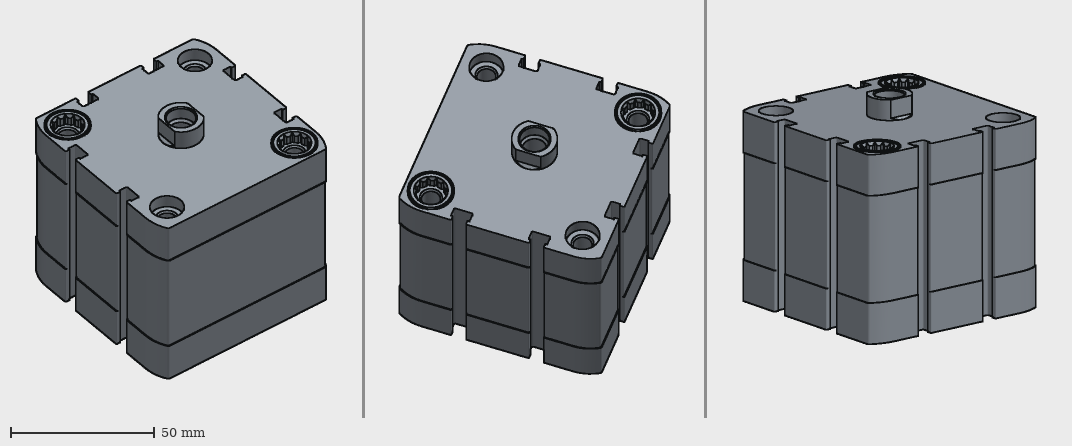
import cadquery as cq
import math

HOUSING_WIDTH = 75.5
TOTAL_HEIGHT = 76.5
HOUSING_HEIGHT = 69.0
CAP_HEIGHT = 15.0

HALF_WIDTH = HOUSING_WIDTH / 2
BARREL_INSET = 0.3
FLAT_HALF_LENGTH = 28.3
CORNER_RADIUS = 17.3
EDGE_RADIUS = 1.15

SLOT_OFFSET = 14.45
SLOT_MOUTH_WIDTH = 5.5
SLOT_WIDTH = 6.95
SLOT_DEPTH = 5.2
SLOT_LIP = 1.75
SLOT_MOUTH_RADIUS = 0.3
SLOT_CORNER_RADIUS = 0.5
SLOT_SIDES = (0, 90, 180)

HOLE_OFFSET = 28.2
HOLE_DIAMETER = 6.65
HOLE_CHAMFER_DIAMETER = 7.95

COUNTERBORE_DIAMETER = 12.0
COUNTERBORE_DEPTH = 5.0

SOCKET_RIM_DIAMETER = COUNTERBORE_DIAMETER
SOCKET_BORE_DIAMETER = 10.5
SOCKET_POINT_DIAMETER = 11.8
SOCKET_SQUARES = 3
SOCKET_DEPTH = 4.5
SOCKET_CONE_DEPTH = 1.4
GROOVE_OUTER_DIAMETER = 16.4
GROOVE_FLOOR_DIAMETER = 15.5
GROOVE_RIM_DIAMETER = 14.7
GROOVE_DEPTH = 0.45

ROD_DIAMETER = 16.0
ROD_SEAT_DEPTH = CAP_HEIGHT
ROD_FLAT_WIDTH = 13.0
ROD_FLAT_FOOT = 0.85
ROD_RECESS_DIAMETER = 10.5
ROD_RECESS_CHAMFER = 0.45
ROD_RECESS_DEPTH = 5.0
ROD_BORE_DIAMETER = 8.6
ROD_BORE_DEPTH = 15.3
DRILL_POINT_ANGLE = 118.0

CUT_MARGIN = 0.8


def revolve_profile(points):
    """Revolve (radius, height) points about the Z axis."""
    return cq.Workplane("XZ").polyline(points).close().revolve(360, (0, 0), (0, 1))


def outline_block(inset, height):
    """Square block with large arcs at its corners, smaller by inset on each side."""
    half = HALF_WIDTH - inset
    radius = CORNER_RADIUS - inset
    arc_angle = math.asin((half - FLAT_HALF_LENGTH) / radius)

    def arc_point(angle):
        return (
            FLAT_HALF_LENGTH + radius * math.sin(angle),
            half - radius * (1 - math.cos(angle)),
        )

    middle_x, middle_y = arc_point(arc_angle / 2)
    end_x, end_y = arc_point(arc_angle)
    block = (
        cq.Workplane("XY")
        .moveTo(-FLAT_HALF_LENGTH, half)
        .lineTo(FLAT_HALF_LENGTH, half)
        .threePointArc((middle_x, middle_y), (end_x, end_y))
        .lineTo(end_x, -end_y)
        .threePointArc((middle_x, -middle_y), (FLAT_HALF_LENGTH, -half))
        .lineTo(-FLAT_HALF_LENGTH, -half)
        .threePointArc((-middle_x, -middle_y), (-end_x, -end_y))
        .lineTo(-end_x, end_y)
        .threePointArc((-middle_x, middle_y), (-FLAT_HALF_LENGTH, half))
        .close()
        .extrude(height)
    )
    return block.edges("|Z").edges("<X or >X").fillet(EDGE_RADIUS)


def slot_cutter(inset, height):
    """T-slot for the middle of the +Y side, with its mouth edges rounded."""
    face = HALF_WIDTH - inset
    floor = HALF_WIDTH - SLOT_DEPTH
    mouth = SLOT_MOUTH_WIDTH / 2
    flare = mouth + SLOT_MOUTH_RADIUS
    bend = SLOT_MOUTH_RADIUS * (1 - math.sqrt(0.5))
    throat = (
        cq.Workplane("XY")
        .moveTo(-mouth, floor + SLOT_CORNER_RADIUS)
        .lineTo(-mouth, face - SLOT_MOUTH_RADIUS)
        .threePointArc((-mouth - bend, face - bend), (-flare, face))
        .lineTo(-flare, face + CUT_MARGIN)
        .lineTo(flare, face + CUT_MARGIN)
        .lineTo(flare, face)
        .threePointArc((mouth + bend, face - bend), (mouth, face - SLOT_MOUTH_RADIUS))
        .lineTo(mouth, floor + SLOT_CORNER_RADIUS)
        .close()
        .extrude(height)
    )
    channel_depth = SLOT_DEPTH - SLOT_LIP
    channel = (
        cq.Workplane("XY")
        .center(0, floor + channel_depth / 2)
        .rect(SLOT_WIDTH, channel_depth)
        .extrude(height)
        .edges("|Z and <Y")
        .fillet(SLOT_CORNER_RADIUS)
    )
    return throat.union(channel)


def housing_section(inset, bottom, height):
    """Slotted length of the housing that starts at the given height."""
    section = outline_block(inset, height)
    cutter = slot_cutter(inset, height)
    for turn in SLOT_SIDES:
        for offset in (-SLOT_OFFSET, SLOT_OFFSET):
            slot = cutter.translate((offset, 0, 0)).rotate((0, 0, 0), (0, 0, 1), turn)
            section = section.cut(slot)
    return section.translate((0, 0, bottom))


def through_hole_cutter(seat):
    """Through hole whose upper rim, at the seat height, has a 45 degree chamfer."""
    radius = HOLE_DIAMETER / 2
    rim = HOLE_CHAMFER_DIAMETER / 2
    return revolve_profile([
        (0, -CUT_MARGIN),
        (radius, -CUT_MARGIN),
        (radius, seat - (rim - radius)),
        (rim, seat),
        (0, seat),
    ])


def counterbored_hole_cutter():
    """Through hole below a plain counterbore."""
    seat = HOUSING_HEIGHT - COUNTERBORE_DEPTH
    counterbore = (
        cq.Workplane("XY", origin=(0, 0, seat))
        .circle(COUNTERBORE_DIAMETER / 2)
        .extrude(COUNTERBORE_DEPTH + CUT_MARGIN)
    )
    return through_hole_cutter(seat).union(counterbore)


def socket_hole_cutter():
    """Through hole below a twelve-point socket with a conical entry and a ring groove."""
    top = HOUSING_HEIGHT
    seat = top - SOCKET_DEPTH
    bore_radius = SOCKET_BORE_DIAMETER / 2
    socket = cq.Workplane("XY", origin=(0, 0, seat)).circle(bore_radius).extrude(SOCKET_DEPTH)
    entry = revolve_profile([
        (0, top - SOCKET_CONE_DEPTH),
        (bore_radius, top - SOCKET_CONE_DEPTH),
        (SOCKET_RIM_DIAMETER / 2, top),
        (0, top),
    ])
    for index in range(SOCKET_SQUARES):
        square = (
            cq.Workplane("XY", origin=(0, 0, seat))
            .transformed(rotate=(0, 0, index * 90 / SOCKET_SQUARES))
            .polygon(4, SOCKET_POINT_DIAMETER)
            .extrude(SOCKET_DEPTH)
        )
        socket = socket.union(square)
    groove = revolve_profile([
        (GROOVE_RIM_DIAMETER / 2, top),
        (GROOVE_FLOOR_DIAMETER / 2, top - GROOVE_DEPTH),
        (GROOVE_OUTER_DIAMETER / 2, top - GROOVE_DEPTH),
        (GROOVE_OUTER_DIAMETER / 2, top),
    ])
    return through_hole_cutter(seat).union(socket).union(entry).union(groove)


def make_housing():
    """Two end caps and the slimmer barrel between them, as one solid with all its holes."""
    barrel_height = HOUSING_HEIGHT - 2 * CAP_HEIGHT
    housing = (
        housing_section(0, 0, CAP_HEIGHT)
        .union(housing_section(BARREL_INSET, CAP_HEIGHT, barrel_height))
        .union(housing_section(0, HOUSING_HEIGHT - CAP_HEIGHT, CAP_HEIGHT))
    )
    counterbored_hole = counterbored_hole_cutter()
    socket_hole = socket_hole_cutter()
    for side in (-1, 1):
        housing = housing.cut(counterbored_hole.translate((side * HOLE_OFFSET, -side * HOLE_OFFSET, 0)))
        housing = housing.cut(socket_hole.translate((side * HOLE_OFFSET, side * HOLE_OFFSET, 0)))
    rod_seat = (
        cq.Workplane("XY", origin=(0, 0, HOUSING_HEIGHT))
        .circle(ROD_DIAMETER / 2)
        .extrude(-ROD_SEAT_DEPTH)
    )
    return housing.cut(rod_seat)


def rod_flat_cutter():
    """Removes the +Y side of the rod down to a wrench flat with a sloping foot."""
    flat = ROD_FLAT_WIDTH / 2
    radius = ROD_DIAMETER / 2
    return (
        cq.Workplane("YZ")
        .polyline([
            (flat, HOUSING_HEIGHT + ROD_FLAT_FOOT),
            (radius, HOUSING_HEIGHT),
            (radius + CUT_MARGIN, HOUSING_HEIGHT),
            (radius + CUT_MARGIN, TOTAL_HEIGHT + CUT_MARGIN),
            (flat, TOTAL_HEIGHT + CUT_MARGIN),
        ])
        .close()
        .extrude(radius + CUT_MARGIN, both=True)
    )


def rod_bore_cutter():
    """Recess with chamfered rim and 45 degree floor, leading to a drilled bore."""
    recess = ROD_RECESS_DIAMETER / 2
    bore = ROD_BORE_DIAMETER / 2
    recess_floor = TOTAL_HEIGHT - ROD_RECESS_DEPTH
    bore_floor = TOTAL_HEIGHT - ROD_BORE_DEPTH
    point_depth = bore / math.tan(math.radians(DRILL_POINT_ANGLE / 2))
    return revolve_profile([
        (0, TOTAL_HEIGHT),
        (recess + ROD_RECESS_CHAMFER, TOTAL_HEIGHT),
        (recess, TOTAL_HEIGHT - ROD_RECESS_CHAMFER),
        (recess, recess_floor),
        (bore, recess_floor - (recess - bore)),
        (bore, bore_floor),
        (0, bore_floor - point_depth),
    ])


def make_rod():
    """Rod with two wrench flats and a stepped bore in its upper end."""
    bottom = HOUSING_HEIGHT - ROD_SEAT_DEPTH
    rod = (
        cq.Workplane("XY", origin=(0, 0, bottom))
        .circle(ROD_DIAMETER / 2)
        .extrude(TOTAL_HEIGHT - bottom)
    )
    flat = rod_flat_cutter()
    return rod.cut(flat).cut(flat.mirror("XZ")).cut(rod_bore_cutter())


housing = make_housing()
rod = make_rod()
result = cq.Compound.makeCompound([housing.val(), rod.val()])